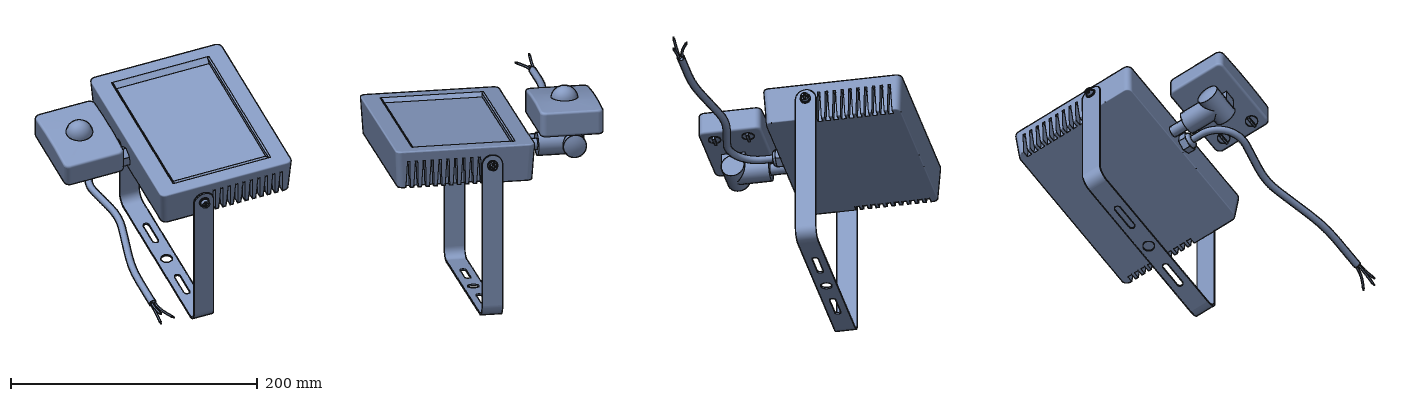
import cadquery as cq
import math


lamp_length = 157.0
lamp_width = 115.0
lamp_bottom_length = 151.0
lamp_bottom_width = 111.4
lamp_top = 144.6
lamp_bottom = 113.2
lamp_height = lamp_top - lamp_bottom
frame_height = 6.2
lamp_corner_radius = 5.0
lamp_front_edge_radius = 1.1
lamp_back_edge_radius = 0.8

window_length = 132.6
window_width = 85.4
window_floor_length = 121.6
window_floor_width = 81.2
window_depth = 2.7
window_bevel_end_inset = 0.9
window_bevel_side_inset = 1.5
window_bevel_depth = 0.7

slot_count = 10
slot_pitch = 6.5
first_slot_y = 47.3
slot_top = 136.2
slot_top_width = 1.9
slot_bottom_width = 3.8
slot_floor_x = 70.0

pivot_y = -21.4
pivot_z = 129.6
boss_diameter = 9.4
boss_root_x = 74.0
shank_diameter = 5.0
washer_diameter = 8.4
washer_thickness = 0.9
head_diameter = 6.5
head_end_x = 84.9
recess_width = 1.4
recess_length = 4.6
recess_depth = 1.5

bracket_span = 161.0
bracket_thickness = 1.5
bracket_width = 17.0
bracket_bend_radius = 10.0
bracket_outer_x = bracket_span / 2
bracket_inner_x = bracket_outer_x - bracket_thickness
mount_hole_diameter = 9.4
mount_slot_length = 25.0
mount_slot_width = 5.0
mount_slot_x = 33.6

sensor_length = 70.0
sensor_width = 52.0
sensor_x = -5.3
sensor_y = -95.5
sensor_bottom = 137.2
sensor_edge_top = 157.4
sensor_crown_top = 159.7
sensor_corner_radius = 5.0
sensor_edge_radius = 2.0
dome_radius = 11.1
dome_top = 169.0

knob_x = 19.6
knob_ys = (-82.0, -109.8)
knob_diameter = 10.0
knob_thickness = 0.8
knob_grip_width = 1.8
knob_grip_bottom = 134.4

joint_x = -15.4
joint_y = -99.8
joint_z = 124.2
stem_diameter = 9.4
socket_start_y = -70.6
joint_diameter = 19.0
barrel_length = 25.4
barrel_cap_height = 1.8
lug_width = 19.5
lug_thickness = 10.0
lug_x = -10.2

gland_z = 124.9
gland_flats = 14.0
gland_nut_end_y = -62.4
gland_end_y = -65.2
gland_cap_diameter = 13.6
gland_cap_fillet = 2.5
inside_wall_y = -50.0
cable_diameter = 6.0
cable_end_x = 174.5
cable_end_y = -104.5

wire_diameter = 1.6
core_diameter = 0.9
core_length = 2.0
wire_root_radius = 1.6
wire_start_x = cable_end_x - 1.0
wire_tip_curl = 1.6
wires = [
    (0, 196.98, -94.8, 124.6),
    (140, 196.2, -106.0, 131.6),
    (220, 196.2, -106.0, 121.1),
]


def tapered_block(lower_size, lower_z, upper_size, upper_z):
    lower = cq.Sketch().rect(*lower_size).vertices().fillet(lamp_corner_radius)
    upper = cq.Sketch().rect(*upper_size).vertices().fillet(lamp_corner_radius)
    lower_place = cq.Location(cq.Vector(0, 0, lower_z))
    upper_place = cq.Location(cq.Vector(0, 0, upper_z))
    return cq.Workplane("XY").placeSketch(lower.moved(lower_place), upper.moved(upper_place)).loft()


def cylinder(plane, centre, diameter, length):
    return cq.Workplane(plane, origin=centre).circle(diameter / 2).extrude(length)


def make_housing():
    seam_z = lamp_top - frame_height
    seam_share = (seam_z - lamp_bottom) / lamp_height
    top_size = (lamp_length, lamp_width)
    bottom_size = (lamp_bottom_length, lamp_bottom_width)
    seam_size = tuple(low + seam_share * (high - low) for low, high in zip(bottom_size, top_size))
    back = tapered_block(bottom_size, lamp_bottom, seam_size, seam_z)
    back = back.faces("<Z").edges().fillet(lamp_back_edge_radius)
    frame = tapered_block(seam_size, seam_z, top_size, lamp_top)
    frame = frame.faces(">Z").edges().fillet(lamp_front_edge_radius)
    bevel_bottom_length = window_length - 2 * window_bevel_end_inset
    bevel_bottom_width = window_width - 2 * window_bevel_side_inset
    window = (
        cq.Workplane("XY", origin=(0, 0, lamp_top - window_depth))
        .rect(window_floor_length, window_floor_width)
        .workplane(offset=window_depth - window_bevel_depth)
        .rect(bevel_bottom_length, bevel_bottom_width)
        .workplane(offset=window_bevel_depth)
        .rect(window_length, window_width)
        .loft(ruled=True)
    )
    return back.union(frame, clean=False).cut(window, clean=False)


def make_cooling_slots():
    slots = cq.Workplane("XY")
    for side in (-1, 1):
        for index in range(slot_count):
            slot_y = first_slot_y - index * slot_pitch
            slot = (
                cq.Workplane("YZ", origin=(side * slot_floor_x, slot_y, 0))
                .moveTo(-slot_top_width / 2, slot_top)
                .lineTo(slot_top_width / 2, slot_top)
                .lineTo(slot_bottom_width / 2, lamp_bottom)
                .lineTo(-slot_bottom_width / 2, lamp_bottom)
                .close()
                .extrude(side * (lamp_length / 2 - slot_floor_x))
            )
            slots = slots.add(slot)
    return slots.combine()


def make_pivot_screw(side):
    def disc(diameter, start_x, end_x):
        return cylinder("YZ", (side * start_x, pivot_y, pivot_z), diameter, side * (end_x - start_x))

    washer_end_x = bracket_outer_x + washer_thickness
    recess = (
        cq.Workplane("YZ", origin=(side * head_end_x, pivot_y, pivot_z))
        .rect(recess_length, recess_width)
        .extrude(-side * recess_depth)
    )
    cross = recess.union(recess.rotate((0, pivot_y, pivot_z), (1, pivot_y, pivot_z), 90))
    return (
        disc(boss_diameter, boss_root_x, bracket_inner_x)
        .union(disc(shank_diameter, bracket_inner_x, bracket_outer_x))
        .union(disc(washer_diameter, bracket_outer_x, washer_end_x))
        .union(disc(head_diameter, washer_end_x, head_end_x))
        .cut(cross)
    )


def make_sensor_case():
    half = sensor_length / 2
    case = (
        cq.Workplane("XZ", origin=(sensor_x, sensor_y + sensor_width / 2, 0))
        .moveTo(-half, sensor_bottom)
        .lineTo(half, sensor_bottom)
        .lineTo(half, sensor_edge_top)
        .threePointArc((0, sensor_crown_top), (-half, sensor_edge_top))
        .close()
        .extrude(sensor_width)
    )
    case = case.edges("|Z").fillet(sensor_corner_radius)
    case = case.faces("<Z").edges().fillet(sensor_edge_radius)
    case = case.faces(">Z").edges().fillet(sensor_edge_radius)
    dome_centre = (sensor_x, sensor_y, dome_top - dome_radius)
    return case.union(cq.Workplane("XY", origin=dome_centre).sphere(dome_radius))


def make_knob(knob_y):
    base = cylinder("XY", (knob_x, knob_y, sensor_bottom), knob_diameter, -knob_thickness)
    grip = (
        cq.Workplane("XY", origin=(knob_x, knob_y, sensor_bottom))
        .rect(knob_diameter, knob_grip_width)
        .extrude(knob_grip_bottom - sensor_bottom)
    )
    return base.union(grip)


def make_swivel_joint():
    stem = cylinder("XZ", (joint_x, inside_wall_y, joint_z), stem_diameter, inside_wall_y - socket_start_y)
    socket = cylinder("XZ", (joint_x, socket_start_y, joint_z), joint_diameter, socket_start_y - joint_y)

    barrel_start = -barrel_length / 2
    barrel_radius = joint_diameter / 2
    cap_radius = (barrel_radius**2 + barrel_cap_height**2) / (2 * barrel_cap_height)
    cap_centre = barrel_start - barrel_cap_height + cap_radius
    cap_middle_radius = barrel_radius / 2
    cap_middle = (cap_centre - math.sqrt(cap_radius**2 - cap_middle_radius**2), cap_middle_radius)
    barrel = (
        cq.Workplane("XY", origin=(joint_x, joint_y, joint_z))
        .moveTo(barrel_start - barrel_cap_height, 0)
        .lineTo(-barrel_start, 0)
        .lineTo(-barrel_start, barrel_radius)
        .lineTo(barrel_start, barrel_radius)
        .threePointArc(cap_middle, (barrel_start - barrel_cap_height, 0))
        .close()
        .revolve(360, (0, 0, 0), (1, 0, 0))
    )

    lug = (
        cq.Workplane("XY", origin=(lug_x, joint_y, joint_z))
        .rect(lug_thickness, lug_width)
        .extrude(sensor_bottom - joint_z)
    )
    return stem.union(socket).union(barrel).union(lug)


def make_gland():
    corner_diameter = gland_flats / math.cos(math.radians(30))
    nut = (
        cq.Workplane("XZ", origin=(0, inside_wall_y, gland_z))
        .transformed(rotate=(0, 0, 90))
        .polygon(6, corner_diameter)
        .extrude(inside_wall_y - gland_nut_end_y)
    )
    cap_length = gland_nut_end_y - gland_end_y
    cap = cylinder("XZ", (0, gland_nut_end_y, gland_z), gland_cap_diameter, cap_length)
    cap = cap.faces("<Y").edges().fillet(gland_cap_fillet)
    return nut.union(cap)


def make_cable():
    start = cq.Vector(0, gland_end_y)
    turns = [
        (cq.Vector(0, -103.2), 25.0),
        (cq.Vector(67.0, -89.9), 63.0),
        (cq.Vector(129.5, cable_end_y), 137.0),
    ]
    end = cq.Vector(cable_end_x, cable_end_y)
    corners = [corner for corner, radius in turns]
    route = cq.Workplane("XY", origin=(0, 0, gland_z)).moveTo(start.x, start.y)
    for before, (corner, radius), after in zip([start] + corners, turns, corners[1:] + [end]):
        inward = (corner - before).normalized()
        outward = (after - corner).normalized()
        setback = radius * math.tan(inward.getAngle(outward) / 2)
        arc_start = corner - inward * setback
        arc_end = corner + outward * setback
        route = route.lineTo(arc_start.x, arc_start.y)
        route = route.tangentArcPoint((arc_end.x, arc_end.y), relative=False)
    route = route.lineTo(end.x, end.y)
    profile = cq.Workplane("XZ", origin=(0, gland_end_y, gland_z)).circle(cable_diameter / 2)
    return profile.sweep(route)


def make_wire(root_angle, tip_x, tip_y, tip_z):
    root_y = cable_end_y + wire_root_radius * math.cos(math.radians(root_angle))
    root_z = gland_z + wire_root_radius * math.sin(math.radians(root_angle))
    root = cq.Vector(wire_start_x, root_y, root_z)
    tip = cq.Vector(tip_x, tip_y, tip_z)
    rise_y = wire_tip_curl * (tip_y - root_y)
    rise_z = wire_tip_curl * (tip_z - root_z)
    tip_direction = cq.Vector(tip_x - wire_start_x, rise_y, rise_z).normalized()
    insulation_end = tip - tip_direction * core_length
    curve = cq.Edge.makeSpline([root, insulation_end], tangents=[cq.Vector(1, 0, 0), tip_direction])
    insulation = (
        cq.Workplane("YZ", origin=root.toTuple())
        .circle(wire_diameter / 2)
        .sweep(cq.Workplane(cq.Wire.assembleEdges([curve])))
    )
    core = cq.Solid.makeCylinder(core_diameter / 2, core_length, insulation_end, tip_direction)
    return insulation.union(cq.Workplane(core))


def make_floodlight():
    body = make_housing().cut(make_cooling_slots(), clean=False)
    for side in (-1, 1):
        body = body.union(make_pivot_screw(side), clean=False)
    body = body.union(make_swivel_joint(), clean=False)
    body = body.union(make_sensor_case(), clean=False)
    for knob_y in knob_ys:
        body = body.union(make_knob(knob_y), clean=False)
    body = body.union(make_gland(), clean=False)
    body = body.union(make_cable(), clean=False)
    for wire in wires:
        body = body.union(make_wire(*wire), clean=False)
    return body


def make_bracket():
    half_width = bracket_width / 2
    arm_top = pivot_z + half_width
    outer = (
        cq.Workplane("XY", origin=(0, pivot_y, 0))
        .box(bracket_span, bracket_width, arm_top, centered=(True, True, False))
        .edges("|Y and <Z")
        .fillet(bracket_bend_radius)
    )
    inner = (
        cq.Workplane("XY", origin=(0, pivot_y, bracket_thickness))
        .box(2 * bracket_inner_x, bracket_width, arm_top, centered=(True, True, False))
        .edges("|Y and <Z")
        .fillet(bracket_bend_radius - bracket_thickness)
    )
    round_ended_side = (
        cq.Workplane("YZ", origin=(-bracket_outer_x, pivot_y, 0))
        .moveTo(-half_width, 0)
        .lineTo(half_width, 0)
        .lineTo(half_width, pivot_z)
        .threePointArc((0, arm_top), (-half_width, pivot_z))
        .close()
        .extrude(bracket_span)
    )
    strip = outer.cut(inner).intersect(round_ended_side)
    pivot_holes = cylinder("YZ", (-bracket_outer_x, pivot_y, pivot_z), shank_diameter, bracket_span)
    floor = cq.Workplane("XY", origin=(0, pivot_y, 0))
    mount_hole = floor.circle(mount_hole_diameter / 2).extrude(bracket_thickness)
    mount_slots = (
        floor.pushPoints([(-mount_slot_x, 0), (mount_slot_x, 0)])
        .slot2D(mount_slot_length, mount_slot_width)
        .extrude(bracket_thickness)
    )
    return strip.cut(pivot_holes).cut(mount_hole).cut(mount_slots)


floodlight = make_floodlight()
bracket = make_bracket()
result = cq.Compound.makeCompound([*floodlight.solids().vals(), *bracket.solids().vals()])